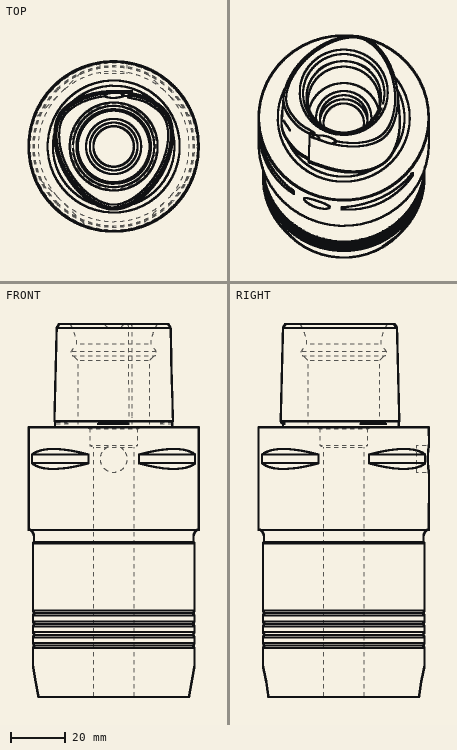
import cadquery as cq
import math

total_height = 138.0
flange_bottom_z = 61.8
flange_top_z = 99.9

flange_diameter = 63.0
flange_radius = flange_diameter / 2
flange_edge_chamfer = 0.21
body_radius = 30.0
undercut_depth = 0.4
undercut_radius = body_radius - undercut_depth
undercut_bottom_z = 57.3
undercut_fillet_top_radius = 30.9
undercut_fillet_height = 2.6
nose_radius = 27.9
nose_height = 11.6

ring_groove_count = 4
ring_groove_first_z = 31.0
ring_groove_pitch = 4.0
ring_groove_width = 2.0
ring_groove_depth = 0.5

shank_mean_radius = 22.0
shank_lobe_height = 1.4
shank_top_radius = 21.1
shank_taper_bottom_z = 103.4
shank_neck_top_z = 102.1
shank_neck_step = 0.21
shank_root_depth = 1.4
shank_chamfer = 1.0
shank_chamfer_height = 1.5
half_curve_steps = 18

relief_inner_radius = 22.5
relief_outer_radius = 24.4
relief_height = 1.7
relief_bevel = 0.5
relief_groove_depth = 0.4

notch_bottom_y = 18.0
notch_radius = 10.4

bore_mouth_radius = 16.3
bore_chamfer_radius = 15.0
bore_chamfer_depth = 1.8
bore_lip_radius = 13.8
bore_lip_start_depth = 6.2
bore_lip_end_depth = 7.5
bore_groove_radius = 15.7
bore_groove_start_depth = 10.2
bore_groove_end_depth = 11.0
bore_groove_fillet = 0.8
inner_bore_radius = 13.2
inner_bore_depth = total_height - flange_top_z
through_hole_radius = 7.5
pilot_hole_radius = 8.8
pilot_hole_depth = 6.9
pilot_chamfer = 1.4
pilot_cone_slope = math.tan(math.radians(30))

slot_count = 4
slot_first_angle = 45.0
slot_z = 88.0
slot_floor_distance = 27.9
slot_floor_height = 3.2
slot_flank_angle = 30.0
chip_pocket_radius = 5.0
chip_pocket_depth = 4.5


def revolve_profile(profile):
    """Turn a closed (radius, height) outline about the Z axis."""
    return profile.close().revolve(360, (0, 0, 0), (0, 1, 0))


def make_body():
    """Conical nose, cylindrical body, filleted undercut and flange."""
    fillet_run = undercut_fillet_top_radius - undercut_radius
    fillet_radius = (fillet_run**2 + undercut_fillet_height**2) / (2 * fillet_run)
    half_turn = math.asin(undercut_fillet_height / fillet_radius) / 2
    fillet_mid = (
        undercut_radius + fillet_radius * (1 - math.cos(half_turn)),
        flange_bottom_z - undercut_fillet_height + fillet_radius * math.sin(half_turn),
    )
    profile = (
        cq.Workplane("XZ")
        .lineTo(nose_radius, 0)
        .lineTo(body_radius, nose_height)
        .lineTo(body_radius, undercut_bottom_z - undercut_depth)
        .lineTo(undercut_radius, undercut_bottom_z)
        .lineTo(undercut_radius, flange_bottom_z - undercut_fillet_height)
        .threePointArc(fillet_mid, (undercut_fillet_top_radius, flange_bottom_z))
        .lineTo(flange_radius, flange_bottom_z)
        .lineTo(flange_radius, flange_top_z - flange_edge_chamfer)
        .lineTo(flange_radius - flange_edge_chamfer, flange_top_z)
        .lineTo(0, flange_top_z)
    )
    return revolve_profile(profile)


def ring_groove(z):
    """V groove around the body, centred on height z."""
    half_width = ring_groove_width / 2
    profile = (
        cq.Workplane("XZ")
        .moveTo(body_radius - ring_groove_depth, z)
        .lineTo(body_radius, z - half_width)
        .lineTo(flange_radius, z - half_width)
        .lineTo(flange_radius, z + half_width)
        .lineTo(body_radius, z + half_width)
    )
    return revolve_profile(profile)


def lobed_point(mean_radius, z, turn):
    """Point of a three-lobed curve of constant width, with one lobe towards -Y."""
    reach = mean_radius + shank_lobe_height * math.sin(3 * turn)
    shift = 3 * shank_lobe_height * math.cos(3 * turn)
    return cq.Vector(
        reach * math.cos(turn) - shift * math.sin(turn),
        reach * math.sin(turn) + shift * math.cos(turn),
        z,
    )


def lobed_wire(mean_radius, z):
    """Closed lobed outline made of two mirrored halves that meet on the Y axis."""
    along_x = cq.Vector(1, 0, 0)
    halves = []
    for start_turn, direction in ((-math.pi / 2, along_x), (math.pi / 2, -along_x)):
        turns = [start_turn + math.pi * step / half_curve_steps for step in range(half_curve_steps + 1)]
        points = [lobed_point(mean_radius, z, turn) for turn in turns]
        halves.append(cq.Edge.makeSpline(points, tangents=[direction, -direction]))
    return cq.Wire.assembleEdges(halves)


def make_shank():
    """Lobed neck, straight collar, long taper and chamfered rim, ruled between outlines."""
    neck_radius = shank_mean_radius - shank_neck_step
    sections = (
        (neck_radius, flange_top_z - shank_root_depth),
        (neck_radius, shank_neck_top_z - shank_neck_step),
        (shank_mean_radius, shank_neck_top_z),
        (shank_mean_radius, shank_taper_bottom_z),
        (shank_top_radius, total_height - shank_chamfer_height),
        (shank_top_radius - shank_chamfer, total_height),
    )
    wires = [lobed_wire(mean_radius, z) for mean_radius, z in sections]
    return cq.Workplane(cq.Solid.makeLoft(wires, True))


def relief_cut():
    """Trims the lobes at the foot of the shank and dips into the flange face."""
    mid_radius = (relief_inner_radius + relief_outer_radius) / 2
    top_z = flange_top_z + relief_height
    profile = (
        cq.Workplane("XZ")
        .moveTo(relief_inner_radius, flange_top_z)
        .threePointArc((mid_radius, flange_top_z - relief_groove_depth), (relief_outer_radius, flange_top_z))
        .lineTo(relief_outer_radius, top_z)
        .lineTo(relief_inner_radius + relief_bevel, top_z)
        .lineTo(relief_inner_radius, top_z - relief_bevel)
    )
    return revolve_profile(profile)


def notch_cut():
    """45 degree cone standing beyond the +Y edge of the shank rim."""
    cone = cq.Solid.makeCone(
        0, notch_radius, notch_radius,
        pnt=cq.Vector(0, notch_bottom_y + notch_radius, total_height - notch_radius),
    )
    return cq.Workplane(cone)


def bore_cut():
    """Stepped bore with a clamping groove, narrowing to a hole through the whole part."""

    def level(depth):
        return total_height - depth

    groove_fillet_radius = bore_groove_radius - bore_groove_fillet
    groove_fillet_depth = bore_groove_end_depth + bore_groove_fillet
    seat_depth = groove_fillet_depth + groove_fillet_radius - inner_bore_radius
    pilot_top_depth = inner_bore_depth + pilot_chamfer * pilot_cone_slope
    pilot_end_depth = inner_bore_depth + pilot_hole_depth
    pilot_cone_end_depth = pilot_end_depth + (pilot_hole_radius - through_hole_radius) * pilot_cone_slope
    profile = (
        cq.Workplane("XZ")
        .moveTo(0, total_height)
        .lineTo(bore_mouth_radius, total_height)
        .lineTo(bore_chamfer_radius, level(bore_chamfer_depth))
        .lineTo(bore_lip_radius, level(bore_lip_start_depth))
        .lineTo(bore_lip_radius, level(bore_lip_end_depth))
        .lineTo(bore_groove_radius, level(bore_groove_start_depth))
        .lineTo(bore_groove_radius, level(bore_groove_end_depth))
        .radiusArc((groove_fillet_radius, level(groove_fillet_depth)), bore_groove_fillet)
        .lineTo(inner_bore_radius, level(seat_depth))
        .lineTo(inner_bore_radius, level(inner_bore_depth))
        .lineTo(pilot_hole_radius + pilot_chamfer, level(inner_bore_depth))
        .lineTo(pilot_hole_radius, level(pilot_top_depth))
        .lineTo(pilot_hole_radius, level(pilot_end_depth))
        .lineTo(through_hole_radius, level(pilot_cone_end_depth))
        .lineTo(through_hole_radius, 0)
        .lineTo(0, 0)
    )
    return revolve_profile(profile)


def slot_cut(angle):
    """Gripper slot with a flat floor and sloped flanks, cut straight across the flange."""
    depth = flange_radius - slot_floor_distance
    half_floor = slot_floor_height / 2
    half_mouth = half_floor + depth * math.tan(math.radians(slot_flank_angle))
    return (
        cq.Workplane("XZ")
        .moveTo(slot_floor_distance, slot_z - half_floor)
        .lineTo(flange_radius, slot_z - half_mouth)
        .lineTo(flange_radius, slot_z + half_mouth)
        .lineTo(slot_floor_distance, slot_z + half_floor)
        .close()
        .extrude(flange_radius, both=True)
        .rotate((0, 0, 0), (0, 0, 1), angle)
    )


def chip_pocket_cut():
    """Blind round pocket entering the flange from +Y."""
    return (
        cq.Workplane("XZ", origin=(0, flange_radius, slot_z))
        .circle(chip_pocket_radius)
        .extrude(chip_pocket_depth)
    )


result = make_body().union(make_shank())
for index in range(ring_groove_count):
    result = result.cut(ring_groove(ring_groove_first_z - index * ring_groove_pitch))
for index in range(slot_count):
    result = result.cut(slot_cut(slot_first_angle + index * 360 / slot_count))
result = result.cut(relief_cut()).cut(notch_cut()).cut(bore_cut()).cut(chip_pocket_cut()).solids()